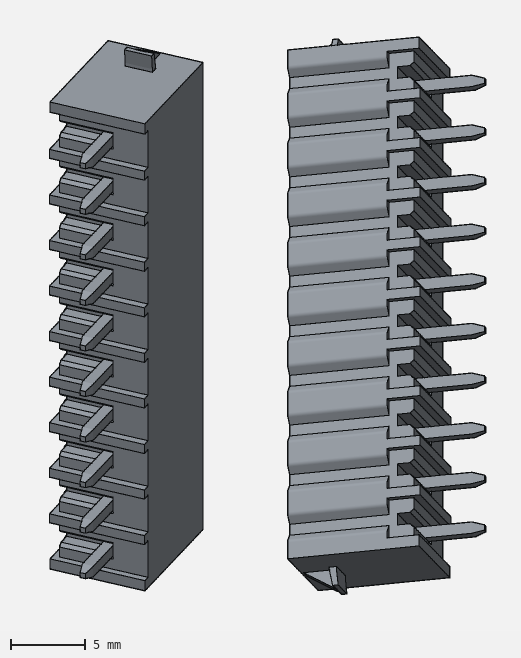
import cadquery as cq
import math


overall_height = 38.5
overall_depth = 12.6
body_width = 7.0
clip_height = 1.3
body_height = overall_height - 2 * clip_height
left_face = -body_width / 2

pole_count = 10
first_to_last_pole = 31.5
pitch = first_to_last_pole / (pole_count - 1)
pole_heights = [(i - (pole_count - 1) / 2) * pitch for i in range(pole_count)]

rib_depth = 9.28
end_wall_depth = 9.2
block_depth = 8.7
groove_depth_end = 6.95
slot_floor_depth = 7.55

rib_thickness = 0.7
pole_gap = pitch - rib_thickness

side_recess = 0.45
groove_floor_height = 0.77
groove_flank_angle = math.radians(41)
groove_lip_radius = 0.4

pin_size = 0.8
pin_offset = 0.5
pin_tip_size = 0.4
pin_tip_length = 0.8

slot_mouth_height = 1.27
slot_chamfer_depth = 0.27
slot_end = pin_offset + pin_size / 2

ramp_width = 0.8
ramp_height = 1.27
ramp_start = 0.15
ramp_end = 2.27
bar_width = 2.0
bar_back_base = 2.1
bar_back_top = 2.4
bar_front_base = 2.65
bar_front_top = 2.77
bar_foot_height = 0.25


def box(x_range, y_range, z_range):
    """Axis-aligned box between the given limits."""
    size = [end - start for start, end in (x_range, y_range, z_range)]
    return cq.Workplane("XY").box(*size, centered=False).translate((x_range[0], y_range[0], z_range[0]))


def pole_recess(z):
    """Space between two ribs, in front of and beside the block of one pole."""
    z_range = (z - pole_gap / 2, z + pole_gap / 2)
    front = box((left_face, -left_face), (-rib_depth, -block_depth), z_range)
    side = box((left_face, left_face + side_recess), (-rib_depth, -groove_depth_end), z_range)
    return front.union(side)


def side_groove(z):
    """Flat-bottomed groove with sloping flanks that round over into the left face."""
    lip_drop = groove_lip_radius * (1 - math.cos(groove_flank_angle))
    lip_middle_drop = groove_lip_radius * (1 - math.cos(groove_flank_angle / 2))
    floor = groove_floor_height / 2
    flank = floor + (side_recess - lip_drop) / math.tan(groove_flank_angle)
    mouth = flank + groove_lip_radius * math.sin(groove_flank_angle)
    lip_middle = mouth - groove_lip_radius * math.sin(groove_flank_angle / 2)
    profile = (
        cq.Workplane("XY")
        .moveTo(0, -mouth)
        .threePointArc((lip_middle_drop, -lip_middle), (lip_drop, -flank))
        .lineTo(side_recess, -floor)
        .lineTo(side_recess, floor)
        .lineTo(lip_drop, flank)
        .threePointArc((lip_middle_drop, lip_middle), (0, mouth))
        .close()
    )
    groove = profile.extrude(groove_depth_end).rotate((0, 0, 0), (1, 0, 0), 90)
    return groove.translate((left_face, 0, z))


def pin_slot(z):
    """Slot as high as the pin, with a mouth chamfered above and below."""
    floor = pin_size / 2
    mouth = slot_mouth_height / 2
    chamfer_start = slot_chamfer_depth - block_depth
    profile = (
        cq.Workplane("YZ")
        .moveTo(-slot_floor_depth, -floor)
        .lineTo(chamfer_start, -floor)
        .lineTo(-block_depth, -mouth)
        .lineTo(-block_depth, mouth)
        .lineTo(chamfer_start, floor)
        .lineTo(-slot_floor_depth, floor)
        .close()
    )
    return profile.extrude(slot_end - left_face).translate((left_face, 0, z))


def pin(z):
    """Square pin from the slot floor to its tapered tip."""
    shank_length = overall_depth - pin_tip_length - slot_floor_depth
    shank = cq.Workplane("XZ").rect(pin_size, pin_size).extrude(shank_length)
    tip = (
        shank.faces("<Y")
        .workplane()
        .rect(pin_size, pin_size)
        .workplane(offset=pin_tip_length)
        .rect(pin_tip_size, pin_tip_size)
        .loft(combine=True)
    )
    return tip.translate((pin_offset, -slot_floor_depth, z))


def top_clip():
    """Ramp and leaning bar that stand on the top end of the body."""
    ramp_outline = [
        (-ramp_start, 0),
        (-ramp_end, ramp_height),
        (-bar_front_base, ramp_height),
        (-bar_front_base, 0),
    ]
    bar_outline = [
        (-bar_back_base, 0),
        (-bar_back_top, clip_height),
        (-bar_front_top, clip_height),
        (-bar_front_base, bar_foot_height),
        (-bar_front_base, 0),
    ]
    ramp = cq.Workplane("YZ").polyline(ramp_outline).close().extrude(ramp_width / 2, both=True)
    bar = cq.Workplane("YZ").polyline(bar_outline).close().extrude(bar_width / 2, both=True)
    return ramp.union(bar).translate((0, 0, body_height / 2))


result = box((left_face, -left_face), (-rib_depth, 0), (-body_height / 2, body_height / 2))
for pole_z in pole_heights:
    result = result.cut(pole_recess(pole_z)).cut(side_groove(pole_z)).cut(pin_slot(pole_z))

for side in (-1, 1):
    wall_inside = side * (pole_heights[-1] + pole_gap / 2)
    z_range = sorted((wall_inside, side * body_height / 2))
    result = result.cut(box((left_face, -left_face), (-rib_depth, -end_wall_depth), z_range))

for pole_z in pole_heights:
    result = result.union(pin(pole_z))

upper_clip = top_clip()
result = result.union(upper_clip).union(upper_clip.mirror("XY"))